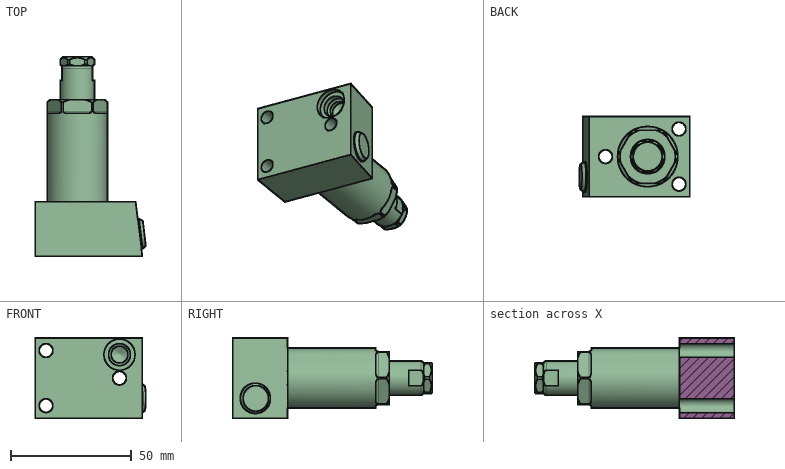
import cadquery as cq
import math

block_width = 44.5
block_depth = 22.7
block_height = 33.3
side_angle = 7.0

axis_x = 17.5
axis_z = block_height / 2
barrel_radius = 12.5
barrel_end = 64.9
barrel_hex_across_flats = 22.0
barrel_hex_start = 59.2
barrel_hex_run_out = 1.0
barrel_end_chamfer = 1.1

neck_radius = 7.1
neck_end = 79.05
neck_edge_radius = 1.15
neck_across_flats = 12.7
neck_flats_start = 72.9

overall_length = 82.7
nut_across_flats = 12.8
nut_end_radius = 5.95
nut_inner_chamfer = 0.5

port_x = 35.0
port_z = 26.4
port_recess_radius = 6.45
port_recess_depth = 2.5
port_bore_radius = 4.55
port_bore_depth = 5.0
port_drill_radius = 3.5
port_drill_depth = 7.4
port_cone_half_angle = 59.0

mount_hole_diameter = 5.5
mount_left_x = 4.55
mount_spacing_z = 22.8

plug_y = 9.35
plug_z = 8.3
plug_radius = 6.3
plug_height = 2.0
plug_edge_height = 1.5
plug_edge_inset = 1.0


def cylinder(radius, start, end):
    """Cylinder on the barrel axis between two Y positions."""
    base = cq.Workplane("XZ", origin=(axis_x, start, axis_z))
    return base.circle(radius).extrude(start - end)


def hexagon(across_flats, start, end):
    """Hexagonal bar on the barrel axis with corners pointing along X."""
    corner_diameter = across_flats / math.cos(math.radians(30))
    base = cq.Workplane("XZ", origin=(axis_x, start, axis_z))
    return base.polygon(6, corner_diameter).extrude(start - end)


def make_block():
    side_taper = block_depth * math.tan(math.radians(side_angle))
    outline = [
        (0, 0),
        (block_width, 0),
        (block_width - side_taper, block_depth),
        (0, block_depth),
    ]
    return cq.Workplane("XY").polyline(outline).close().extrude(block_height)


def make_barrel():
    barrel = cylinder(barrel_radius, block_depth, barrel_end)
    barrel = barrel.faces(">Y").chamfer(barrel_end_chamfer)
    cutter_length = barrel_end - barrel_hex_start
    apothem = barrel_hex_across_flats / 2
    cutter = (
        cq.Workplane("XY", origin=(axis_x, barrel_hex_start, axis_z + apothem))
        .rect(2 * barrel_radius, 2 * cutter_length)
        .extrude(barrel_radius)
        .translate((0, cutter_length, 0))
        .edges("<Y and <Z")
        .fillet(barrel_hex_run_out)
    )
    for side in range(6):
        turned = cutter.rotate((axis_x, 0, axis_z), (axis_x, 1, axis_z), 60 * side)
        barrel = barrel.cut(turned)
    return barrel


def make_neck():
    neck = cylinder(neck_radius, barrel_end, neck_end)
    neck = neck.faces(">Y").edges().fillet(neck_edge_radius)
    flats_length = neck_end - neck_flats_start
    flat_middle_y = neck_flats_start + flats_length / 2
    flat_middle_offset = neck_across_flats / 2 + neck_radius / 2
    for side in (-1, 1):
        middle = (axis_x + side * flat_middle_offset, flat_middle_y, axis_z)
        cutter = cq.Workplane("XY", origin=middle).box(neck_radius, flats_length, 2 * neck_radius)
        neck = neck.cut(cutter)
    return neck


def make_nut():
    end_chamfer = neck_radius - nut_end_radius
    envelope = cylinder(neck_radius, neck_end, overall_length)
    envelope = envelope.faces(">Y").chamfer(end_chamfer)
    envelope = envelope.faces("<Y").chamfer(nut_inner_chamfer)
    return hexagon(nut_across_flats, neck_end, overall_length).intersect(envelope)


def make_plug():
    lean = math.radians(side_angle)
    face_x = block_width - plug_y * math.tan(lean)
    side_plane = cq.Plane(
        origin=(face_x, plug_y, plug_z),
        xDir=(0, 0, 1),
        normal=(math.cos(lean), math.sin(lean), 0),
    )
    plug = cq.Workplane(side_plane).circle(plug_radius).extrude(plug_height)
    return plug.faces(">X").chamfer(plug_edge_height, plug_edge_inset)


def make_port():
    slope = math.tan(math.radians(port_cone_half_angle))
    shoulder_length = (port_bore_radius - port_drill_radius) / slope
    tip_length = port_drill_radius / slope
    profile = [
        (0, 0),
        (port_recess_radius, 0),
        (port_recess_radius, port_recess_depth),
        (port_bore_radius, port_recess_depth),
        (port_bore_radius, port_bore_depth),
        (port_drill_radius, port_bore_depth + shoulder_length),
        (port_drill_radius, port_drill_depth),
        (0, port_drill_depth + tip_length),
    ]
    base = cq.Workplane("XY", origin=(port_x, 0, port_z))
    return base.polyline(profile).close().revolve(360, (0, 0, 0), (0, 1, 0))


def make_mount_holes():
    centres = [
        (mount_left_x, axis_z - mount_spacing_z / 2),
        (mount_left_x, axis_z + mount_spacing_z / 2),
        (port_x, axis_z),
    ]
    return cq.Workplane("XZ").pushPoints(centres).circle(mount_hole_diameter / 2).extrude(-block_depth)


result = make_block().union(make_barrel()).union(make_neck()).union(make_nut()).union(make_plug())
result = result.cut(make_port()).cut(make_mount_holes())